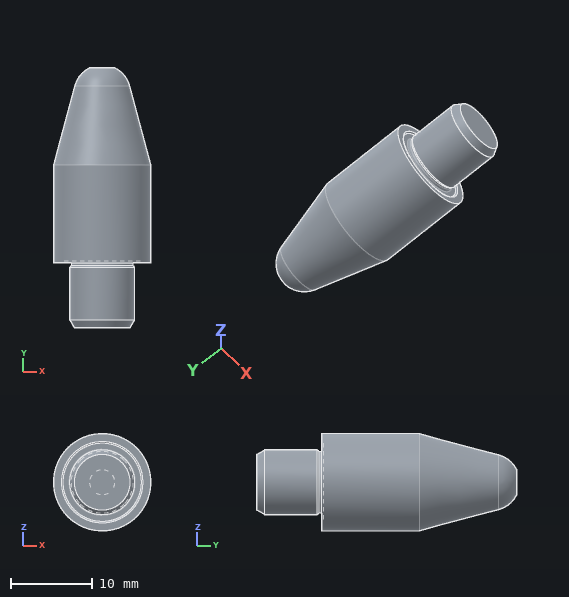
import cadquery as cq
import math

total_length = 32.0
pin_length = 8.0
body_length = 12.0
shoulder_y = pin_length
taper_y = pin_length + body_length

body_radius = 12.0 / 2
pin_radius = 8.0 / 2

chamfer_length = 1.0
chamfer_angle = math.radians(30)
pin_end_radius = pin_radius - chamfer_length * math.tan(chamfer_angle)

neck_radius = 7.6 / 2
undercut_length = 0.58
ramp_length = 0.25
neck_fillet = 0.25
recess_depth = 0.2
recess_radius = 10.0 / 2
neck_start_y = shoulder_y - undercut_length + ramp_length
recess_floor_y = shoulder_y + recess_depth
recess_floor_radius = recess_radius - recess_depth

taper_angle = math.radians(15)
cone_length = 9.75
cone_end_y = taper_y + cone_length
cone_end_radius = body_radius - cone_length * math.tan(taper_angle)
sphere_radius = cone_end_radius / math.cos(taper_angle)
sphere_center_y = cone_end_y - sphere_radius * math.sin(taper_angle)


def sphere_point(angle):
    """Point on the tip sphere, with the angle taken up from its equator."""
    return (
        sphere_radius * math.cos(angle),
        sphere_center_y + sphere_radius * math.sin(angle),
    )


flat_angle = math.asin((total_length - sphere_center_y) / sphere_radius)
tip_middle = sphere_point((taper_angle + flat_angle) / 2)
tip_end = sphere_point(flat_angle)

fillet_offset = neck_fillet * (1 - math.sqrt(0.5))
fillet_middle = (neck_radius + fillet_offset, recess_floor_y - fillet_offset)

half_section = (
    cq.Workplane("XY")
    .moveTo(0, 0)
    .lineTo(pin_end_radius, 0)
    .lineTo(pin_radius, chamfer_length)
    .lineTo(pin_radius, shoulder_y - undercut_length)
    .lineTo(neck_radius, neck_start_y)
    .lineTo(neck_radius, recess_floor_y - neck_fillet)
    .threePointArc(fillet_middle, (neck_radius + neck_fillet, recess_floor_y))
    .lineTo(recess_floor_radius, recess_floor_y)
    .lineTo(recess_radius, shoulder_y)
    .lineTo(body_radius, shoulder_y)
    .lineTo(body_radius, taper_y)
    .lineTo(cone_end_radius, cone_end_y)
    .threePointArc(tip_middle, tip_end)
    .lineTo(0, total_length)
    .close()
)
result = half_section.revolve(360, (0, 0, 0), (0, 1, 0))